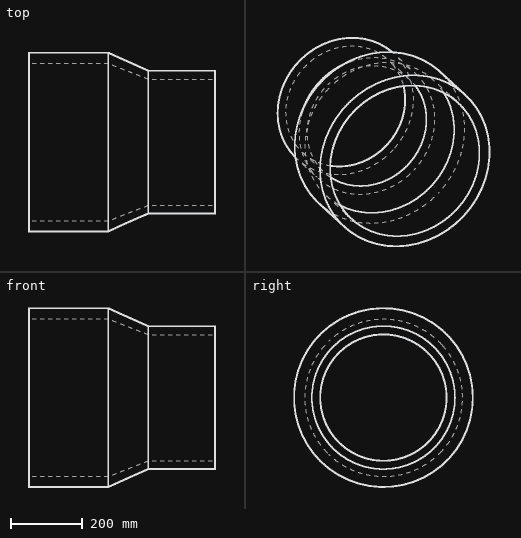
import cadquery as cq

total_length = 520.0
wide_length = 221.5
taper_length = 112.0
wide_outer_diameter = 500.0
wide_bore_diameter = 440.5
narrow_outer_diameter = 400.0
narrow_bore_diameter = 352.5

taper_end = wide_length + taper_length


def stepped_solid(wide_diameter, narrow_diameter):
    """Solid of revolution about X: wide cylinder, cone, narrow cylinder."""
    wide_radius = wide_diameter / 2
    narrow_radius = narrow_diameter / 2
    return (
        cq.Workplane("XY")
        .moveTo(0, 0)
        .lineTo(0, wide_radius)
        .lineTo(wide_length, wide_radius)
        .lineTo(taper_end, narrow_radius)
        .lineTo(total_length, narrow_radius)
        .lineTo(total_length, 0)
        .close()
        .revolve(360, (0, 0, 0), (1, 0, 0))
    )


outer_body = stepped_solid(wide_outer_diameter, narrow_outer_diameter)
bore = stepped_solid(wide_bore_diameter, narrow_bore_diameter)

result = outer_body.cut(bore)